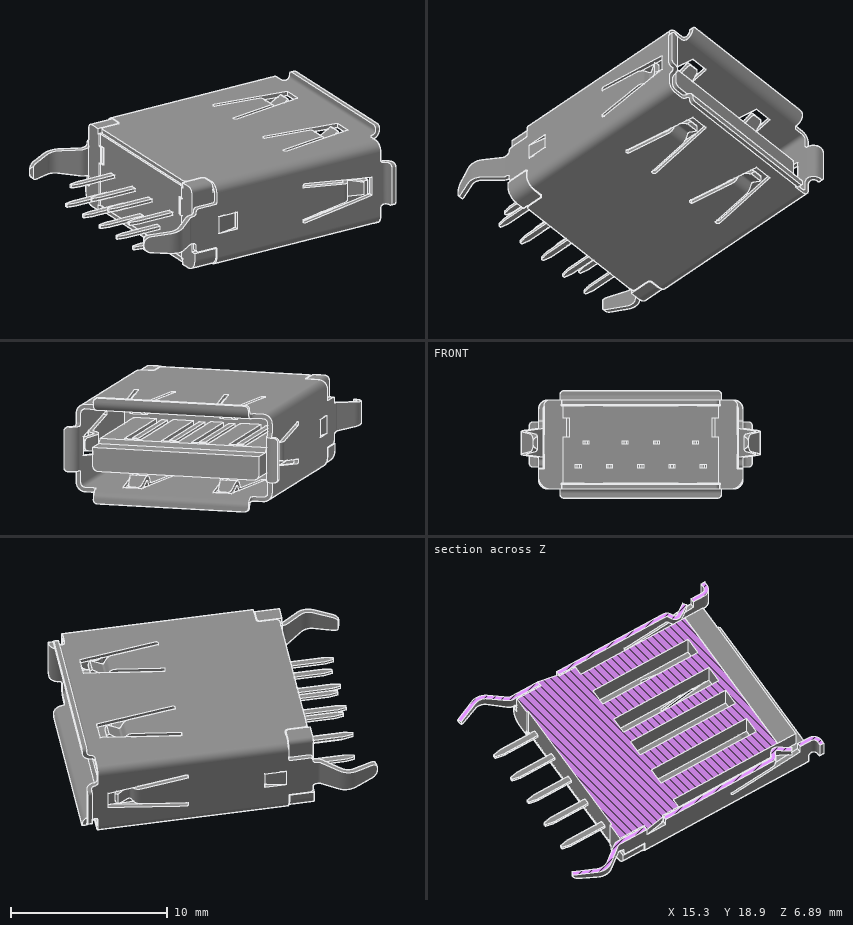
import cadquery as cq
import math


SHEET = 0.3
SHELL_WIDTH = 13.1
SHELL_HEIGHT = 5.7
SHELL_CORNER = 0.6
SHELL_FRONT = -0.77
SHELL_REAR = -14.67
NOTCH_FRONT = -13.2
NOTCH_HALF_WIDTH = 5.03
NOTCH_HALF_HEIGHT = 1.51
NOTCH_FILLET = 0.23

FLANGE_RISE = 0.595
FLANGE_HALF_WIDTH = 5.18
FLANGE_HALF_HEIGHT = 1.45
FLANGE_CORNER = 0.26
FLANGE_ROOT_FILLET = 0.23

FINGER_OFFSET = 3.0
WINDOW_FRONT = -1.44
WINDOW_REAR = -6.65
WINDOW_FRONT_HALF = 0.62
WINDOW_REAR_HALF = 1.4
SLOT_WIDTH = 0.28
SLOT_END_RADIUS = 0.13
FINGER_BEND_START = -3.25
FINGER_CREST = -2.95
FINGER_CREST_DEPTH = 0.6
FINGER_TIP = -1.9
FINGER_TIP_OUTER = -2.06
FINGER_TIP_RADIUS = 0.23
FINGER_BEND_RADII = [0.17, 0.11]

LEG_STEP_START = -14.55
LEG_STEP_RADIUS = 0.2
LEG_TOP = 1.05
LEG_BOTTOM = 0.85
LEG_NARROWING = 0.43
LEG_END_RADIUS = 0.47
LEG_BEND = -15.18
LEG_CREST_START = -16.58
LEG_CREST_END = -17.2
LEG_RISE = 1.105
LEG_END = -18.9
LEG_END_RISE = 0.34
LEG_BEND_RADII = [0.23, 0.72, 0.72]

LATCH_FRONT = -11.62
LATCH_REAR = -13.02
LATCH_HALF_HEIGHT = 0.59

FIT_GAP = 0.05
BLOCK_FRONT = -10.4
BLOCK_REAR = -14.75
HOUSING_REAR = -14.85
WING_CORNER = 0.35
FOOT_CORNER = 0.8
WING_INNER_FILLET = 0.19
WING_LEDGE_INNER = 4.97
LUG_HALF_WIDTH = 4.76
LUG_BASE_HALF_WIDTH = 4.55
LUG_BASE_REAR = -14.8
LUG_BOTTOM = 0.5
LUG_TOP = 1.68
LATCH_START_RISE = 0.04

TONGUE_HALF_WIDTH = 5.55
TONGUE_FRONT = -1.13
TONGUE_BOTTOM = -1.55
TONGUE_TOP = 0.28
TONGUE_FRONT_TOP = 0.0
TONGUE_RAMP_FRONT = -2.51
TONGUE_RAMP_REAR = -2.84
TONGUE_FILLET = 0.38
POCKET_WIDTH = 1.13
POCKET_FRONT = -3.21

LEAD_WIDTH = 0.4
LEAD_THICKNESS = 0.2
LEAD_END = -17.92
LEAD_TAPER = 0.57
LEAD_TIP_WIDTH = 0.17
UPPER_LEAD_Z = 0.13
UPPER_LEAD_X = [-3.5, -1.0, 1.0, 3.5]
CONTACT_FRONT = -3.78
LOWER_LEAD_Z = -1.4
LOWER_LEAD_PITCH = 2.0
LOWER_LEAD_COUNT = 5

HALF_WIDTH = SHELL_WIDTH / 2
HALF_HEIGHT = SHELL_HEIGHT / 2
HOUSING_HALF_WIDTH = HALF_WIDTH - SHEET - FIT_GAP
BLOCK_HALF_HEIGHT = HALF_HEIGHT - SHEET - FIT_GAP
WING_INNER = NOTCH_HALF_WIDTH + FIT_GAP
WING_FRONT = NOTCH_FRONT - FIT_GAP
CLEAR = 3.78

TOP, RIGHT, BOTTOM, LEFT = 0, 90, 180, 270
WALL_DISTANCE = {TOP: HALF_HEIGHT, BOTTOM: HALF_HEIGHT, LEFT: HALF_WIDTH, RIGHT: HALF_WIDTH}


def box(x0, x1, y0, y1, z0, z1):
    """Box between the given limits."""
    return cq.Workplane("XY").box(x1 - x0, y1 - y0, z1 - z0, centered=False).translate((x0, y0, z0))


def on_wall(feature, side, offset=0.0):
    """Move a feature drawn on a wall whose outside is Z = 0 to one side of the shell."""
    lifted = feature.translate((offset, 0, WALL_DISTANCE[side]))
    return lifted.rotate((0, 0, 0), (0, 1, 0), side)


def bent_strip(path, bend_radii):
    """Wide sheet whose outer face follows the (Y, Z) path, with a radius at each bend."""
    facing = math.copysign(1, path[1][0] - path[0][0])
    normals = []
    for (y0, z0), (y1, z1) in zip(path, path[1:]):
        length = math.hypot(y1 - y0, z1 - z0)
        normals.append((facing * (z1 - z0) / length, -facing * (y1 - y0) / length))

    inner = []
    for (y, z), before, after in zip(path, normals[:1] + normals, normals + normals[-1:]):
        miter = SHEET / (1 + before[0] * after[0] + before[1] * after[1])
        inner.append((y + miter * (before[0] + after[0]), z + miter * (before[1] + after[1])))

    strip = cq.Workplane("YZ").polyline(path + inner[::-1]).close().extrude(2 * HALF_WIDTH, both=True)
    for i, bend_radius in enumerate(bend_radii, start=1):
        before, after = normals[i - 1], normals[i]
        bends_inward = facing * (before[0] * after[1] - before[1] * after[0]) < 0
        outer_radius = bend_radius + (SHEET if bends_inward else 0)
        inner_radius = bend_radius + (0 if bends_inward else SHEET)
        for corner, radius in ((path[i], outer_radius), (inner[i], inner_radius)):
            nearest = cq.selectors.NearestToPointSelector((0, *corner))
            strip = strip.edges(nearest).fillet(radius)
    return strip


def prism(half_outline, height=CLEAR):
    """Vertical prism, mirrored about X = 0, reaching the same height above and below Z = 0."""
    return half_outline.mirrorY().extrude(height, both=True)


def tab_outline(half_width, root, tip, root_fillet):
    """Half outline of a tab that flows out of a wall edge through a rounded inner corner."""
    outward = math.copysign(1, tip - root)
    return (
        cq.Workplane("XY")
        .moveTo(0, root)
        .lineTo(half_width + root_fillet, root)
        .radiusArc((half_width, root + outward * root_fillet), outward * root_fillet)
        .lineTo(half_width, tip)
        .lineTo(0, tip)
    )


def mouth_flange(half_width):
    """Flange that leaves the mouth edge and flares outward."""
    strip = bent_strip([(SHELL_FRONT, 0), (-SHEET, 0), (-SHEET, FLANGE_RISE)], [SHEET])
    outline = prism(tab_outline(half_width, SHELL_FRONT, 0, FLANGE_ROOT_FILLET))
    return strip.intersect(outline).edges("|Y and >Z").fillet(FLANGE_CORNER)


def rear_plate():
    """Part of the top or bottom wall between the notches."""
    plate = tab_outline(NOTCH_HALF_WIDTH, NOTCH_FRONT, SHELL_REAR, NOTCH_FILLET).mirrorY().extrude(-SHEET)
    return plate.edges("|Z and <Y").fillet(NOTCH_FILLET)


def spring_window():
    """Tapered opening around a spring finger."""
    outline = (
        cq.Workplane("XY")
        .moveTo(0, WINDOW_FRONT)
        .lineTo(WINDOW_FRONT_HALF, WINDOW_FRONT)
        .lineTo(WINDOW_REAR_HALF, WINDOW_REAR)
        .lineTo(0, WINDOW_REAR)
    )
    return prism(outline, 2 * SHEET).edges("|Z and <Y").fillet(SLOT_END_RADIUS)


def spring_finger():
    """Finger rooted at the rear of its window, with a crest pressed into the mouth."""
    taper = (WINDOW_REAR_HALF - WINDOW_FRONT_HALF) / (WINDOW_FRONT - WINDOW_REAR)
    root_half = WINDOW_REAR_HALF - SLOT_WIDTH
    tip_half = root_half - taper * (FINGER_TIP - WINDOW_REAR)
    outline = (
        cq.Workplane("XY")
        .moveTo(0, WINDOW_REAR)
        .lineTo(root_half, WINDOW_REAR)
        .lineTo(tip_half, FINGER_TIP)
        .lineTo(0, FINGER_TIP)
    )
    plan = prism(outline).edges("|Z and >Y").fillet(FINGER_TIP_RADIUS)
    path = [
        (WINDOW_REAR, 0),
        (FINGER_BEND_START, 0),
        (FINGER_CREST, -FINGER_CREST_DEPTH),
        (FINGER_TIP_OUTER, 0),
    ]
    return bent_strip(path, FINGER_BEND_RADII).intersect(plan)


def board_lock_leg():
    """Rear part of the left wall: a shouldered, tapered leg bent out and back in."""
    root = prism(tab_outline(NOTCH_HALF_HEIGHT, NOTCH_FRONT, LEG_STEP_START, NOTCH_FILLET / 2))
    step_end = LEG_STEP_START - 2 * LEG_STEP_RADIUS
    step_middle = LEG_STEP_START - LEG_STEP_RADIUS
    plan = (
        cq.Workplane("XY")
        .moveTo(NOTCH_HALF_HEIGHT, LEG_STEP_START)
        .radiusArc((NOTCH_HALF_HEIGHT - LEG_STEP_RADIUS, step_middle), LEG_STEP_RADIUS)
        .lineTo(LEG_TOP + LEG_STEP_RADIUS, step_middle)
        .radiusArc((LEG_TOP, step_end), -LEG_STEP_RADIUS)
        .lineTo(LEG_TOP - LEG_NARROWING, LEG_END)
        .lineTo(-LEG_BOTTOM + LEG_NARROWING, LEG_END)
        .lineTo(-LEG_BOTTOM, step_end)
        .radiusArc((-LEG_BOTTOM - LEG_STEP_RADIUS, step_middle), -LEG_STEP_RADIUS)
        .lineTo(-NOTCH_HALF_HEIGHT + LEG_STEP_RADIUS, step_middle)
        .radiusArc((-NOTCH_HALF_HEIGHT, LEG_STEP_START), LEG_STEP_RADIUS)
        .close()
        .extrude(CLEAR, both=True)
        .edges("|Z and <Y")
        .fillet(LEG_END_RADIUS)
    )
    path = [
        (NOTCH_FRONT, 0),
        (LEG_BEND, 0),
        (LEG_CREST_START, LEG_RISE),
        (LEG_CREST_END, LEG_RISE),
        (LEG_END, LEG_END_RISE),
    ]
    return on_wall(bent_strip(path, LEG_BEND_RADII).intersect(root.union(plan)), LEFT)


def make_shell():
    shell = box(-HALF_WIDTH, HALF_WIDTH, NOTCH_FRONT, SHELL_FRONT, -HALF_HEIGHT, HALF_HEIGHT)
    shell = shell.edges("|Y").fillet(SHELL_CORNER).faces("<Y or >Y").shell(-SHEET)

    fingers = [(side, offset) for side in (TOP, BOTTOM) for offset in (-FINGER_OFFSET, FINGER_OFFSET)]
    fingers += [(LEFT, 0), (RIGHT, 0)]
    for side, offset in fingers:
        shell = shell.cut(on_wall(spring_window(), side, offset))
        shell = shell.union(on_wall(spring_finger(), side, offset))

    for side in (TOP, BOTTOM):
        shell = shell.union(on_wall(mouth_flange(FLANGE_HALF_WIDTH), side))
        shell = shell.union(on_wall(rear_plate(), side))

    latch_window = box(-LATCH_HALF_HEIGHT, LATCH_HALF_HEIGHT, LATCH_REAR, LATCH_FRONT, -2 * SHEET, SHEET)
    for side in (LEFT, RIGHT):
        shell = shell.union(on_wall(mouth_flange(FLANGE_HALF_HEIGHT), side))
        shell = shell.cut(on_wall(latch_window, side))

    leg = board_lock_leg()
    return shell.union(leg).union(leg.mirror("YZ"))


def lead(front, x, z):
    """Flat lead from `front` to the tapered end."""
    outline = (
        cq.Workplane("XY")
        .moveTo(0, front)
        .lineTo(LEAD_WIDTH / 2, front)
        .lineTo(LEAD_WIDTH / 2, LEAD_END + LEAD_TAPER)
        .lineTo(LEAD_TIP_WIDTH / 2, LEAD_END)
        .lineTo(0, LEAD_END)
    )
    return prism(outline, LEAD_THICKNESS / 2).translate((x, 0, z))


def tongue():
    """Stepped tongue with an open pocket around each upper contact."""
    profile = [
        (BLOCK_FRONT, TONGUE_BOTTOM),
        (TONGUE_FRONT, TONGUE_BOTTOM),
        (TONGUE_FRONT, TONGUE_FRONT_TOP),
        (TONGUE_RAMP_FRONT, TONGUE_FRONT_TOP),
        (TONGUE_RAMP_REAR, TONGUE_TOP),
        (BLOCK_FRONT, TONGUE_TOP),
    ]
    body = cq.Workplane("YZ").polyline(profile).close().extrude(TONGUE_HALF_WIDTH, both=True)
    body = body.edges("|Y and <Z").fillet(TONGUE_FILLET)
    for x in UPPER_LEAD_X:
        half = POCKET_WIDTH / 2
        body = body.cut(box(x - half, x + half, BLOCK_FRONT, POCKET_FRONT, -CLEAR, CLEAR))
    return body


def rear_corner():
    """Right-hand wing, foot and lug that fill the notches of the shell."""
    step = -NOTCH_HALF_HEIGHT - FIT_GAP
    wing = box(WING_INNER, HOUSING_HALF_WIDTH, HOUSING_REAR, WING_FRONT, step, HALF_HEIGHT)
    wing = wing.edges("|Y and >X and >Z").fillet(WING_CORNER)
    wing = wing.edges("|Z and <X and >Y").fillet(WING_INNER_FILLET)
    foot = box(WING_INNER, HALF_WIDTH, HOUSING_REAR, WING_FRONT, -HALF_HEIGHT, step)
    foot = foot.edges("|Y and >X and <Z").fillet(FOOT_CORNER)
    foot = foot.edges("|Z and <X and >Y").fillet(WING_INNER_FILLET)
    height = BLOCK_HALF_HEIGHT
    ledge = box(WING_LEDGE_INNER, WING_INNER, HOUSING_REAR, BLOCK_REAR, -height, height)
    lug = box(LUG_HALF_WIDTH, WING_INNER, HOUSING_REAR, BLOCK_REAR, LUG_BOTTOM, LUG_TOP)
    lug_base = box(LUG_BASE_HALF_WIDTH, WING_INNER, LUG_BASE_REAR, BLOCK_REAR, LUG_BOTTOM, LUG_TOP)
    return wing.union(foot).union(ledge).union(lug).union(lug_base)


def latch_wedge():
    """Ramp on a side of the housing that fills the latch window."""
    base = -SHEET - FIT_GAP
    profile = [
        (LATCH_FRONT, base),
        (LATCH_FRONT, base + FIT_GAP + LATCH_START_RISE),
        (LATCH_REAR, 0),
        (LATCH_REAR, base),
    ]
    return cq.Workplane("YZ").polyline(profile).close().extrude(LATCH_HALF_HEIGHT, both=True)


def make_housing(contacts):
    """Housing with its five lower leads moulded in as one body."""
    half_width, half_height = HOUSING_HALF_WIDTH, BLOCK_HALF_HEIGHT
    housing = box(-half_width, half_width, BLOCK_REAR, BLOCK_FRONT, -half_height, half_height)
    housing = housing.edges("|Y").fillet(SHELL_CORNER - SHEET)
    housing = housing.union(tongue())
    housing = housing.union(rear_corner()).union(rear_corner().mirror("YZ"))
    for side in (LEFT, RIGHT):
        housing = housing.union(on_wall(latch_wedge(), side))
    for contact in contacts:
        housing = housing.cut(contact)
    for i in range(LOWER_LEAD_COUNT):
        x = (i - (LOWER_LEAD_COUNT - 1) / 2) * LOWER_LEAD_PITCH
        housing = housing.union(lead(BLOCK_REAR, x, LOWER_LEAD_Z))
    return housing


contacts = [lead(CONTACT_FRONT, x, UPPER_LEAD_Z) for x in UPPER_LEAD_X]
housing = make_housing(contacts)
shell = make_shell()
contact_solids = [contact.val() for contact in contacts]

result = cq.Compound.makeCompound([shell.solids().val(), housing.solids().val(), *contact_solids])